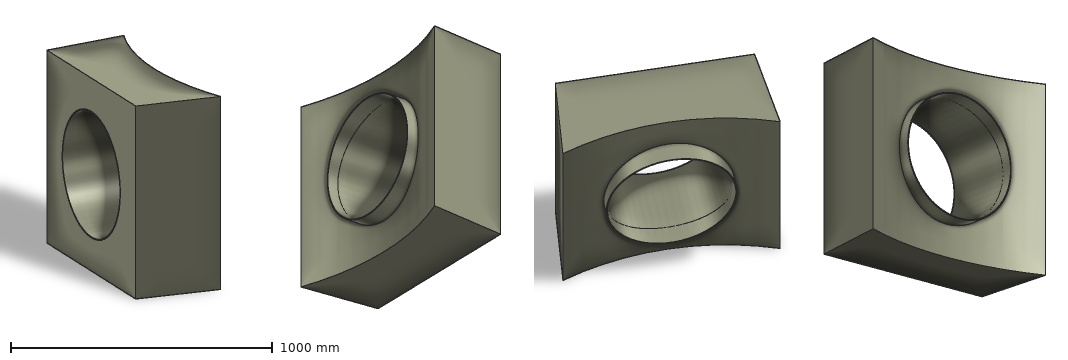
import cadquery as cq

rear_width = 845.0
front_width = 775.0
height = front_width
depth = 344.0
hollow_depth = 77.0

tube_outer_diameter = 508.0
tube_wall = 4.0
tube_length = 345.0


def make_tube_cylinder(diameter):
    """Cylinder along +Y, centred on the block's front face."""
    return (
        cq.Workplane("XZ", origin=(0, 0, height / 2))
        .circle(diameter / 2)
        .extrude(-tube_length)
    )


def make_block():
    """Tapered block with a concave arc back and a hole that fits the tube."""
    plan = (
        cq.Workplane("XY")
        .moveTo(-front_width / 2, 0)
        .lineTo(front_width / 2, 0)
        .lineTo(rear_width / 2, depth)
        .threePointArc((0, depth - hollow_depth), (-rear_width / 2, depth))
        .close()
    )
    return plan.extrude(height).cut(make_tube_cylinder(tube_outer_diameter))


def make_tube():
    """Thin round tube that lines the hole and stands out of the hollow back."""
    bore_diameter = tube_outer_diameter - 2 * tube_wall
    return make_tube_cylinder(tube_outer_diameter).cut(make_tube_cylinder(bore_diameter))


block = make_block()
tube = make_tube()
result = cq.Compound.makeCompound([block.val(), tube.val()])